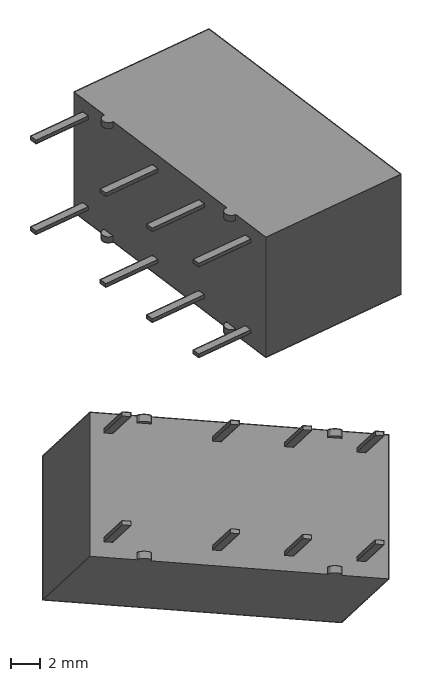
import cadquery as cq

length = 21.0
height = 10.1
overall_depth = 16.1
pin_length = 4.5
body_depth = overall_depth - pin_length

pitch = 2.55
pin_width = 0.6
pin_thickness = 0.3
row_spacing = 3 * pitch
first_pin_x = 1.28
pin_steps = (0, 3, 5, 7)

standoff_radius = 0.5
standoff_thickness = 0.5
standoff_spacing = 13.4
standoff_z = (height - standoff_thickness) / 2

overlap = 0.2


def make_pin(x, z):
    """Rectangular pin running from inside the housing to its free end."""
    full_length = pin_length + overlap
    center_y = overlap - full_length / 2
    return cq.Workplane("XY").box(pin_width, full_length, pin_thickness).translate((x, center_y, z))


def make_standoff(x, z):
    """Disc centred on the pin face, so that half of it stands proud."""
    disc = cq.Workplane("XY").circle(standoff_radius).extrude(standoff_thickness)
    return disc.translate((x, 0, z - standoff_thickness / 2))


result = cq.Workplane("XY").box(length, body_depth, height).translate((0, body_depth / 2, 0))

for side in (-1, 1):
    for step in pin_steps:
        pin_x = -length / 2 + first_pin_x + step * pitch
        result = result.union(make_pin(pin_x, side * row_spacing / 2))
    for end in (-1, 1):
        result = result.union(make_standoff(end * standoff_spacing / 2, side * standoff_z))